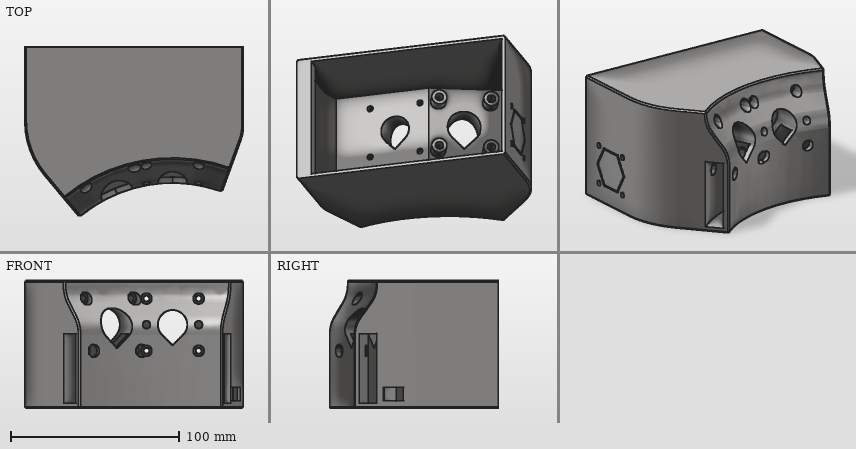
import cadquery as cq
import math

HEIGHT = 76.0
LEFT_X = -87.79
RIGHT_X = 42.0
BACK_Y = 166.81
CHAMFER = 1.0
WALL = 2.0
TOLERANCE = 0.01

LEFT_WALL_ANGLE = 40.0
RIGHT_WALL_ANGLE = 20.0
LEFT_CORNER_RADIUS = 50.0
RIGHT_CORNER_RADIUS = 20.0

LOWER_RADIUS = 86.0
UPPER_RADIUS = 100.0
INSIDE_RADIUS = LOWER_RADIUS / 2
SHOULDER_BOTTOM = 43.7
SHOULDER_TOP = 73.7
SHOULDER_ARC_RADIUS = 17.5
SHOULDER_SLOPE = math.radians(38.0)

SLOT_INNER_RADIUS = 89.6
SLOT_OUTER_RADIUS = 100.6
SLOT_BOTTOM = 3.0
SLOT_TOP = 44.4

MOUNT_HEIGHT = 49.7
MOUNT_PITCH = 31.0
MOUNT_PLANE = 106.0
SCREW_SEAT = 103.0
RIGHT_MOUNT_ANGLE = 0.0
RIGHT_SHAFT_DIAMETER = 17.3
RIGHT_SCREW_DIAMETER = 3.4
RIGHT_HEAD_DIAMETER = 6.5
LEFT_MOUNT_ANGLE = 22.5
LEFT_SHAFT_DIAMETER = 19.8
LEFT_SCREW_DIAMETER = 4.6
LEFT_HEAD_DIAMETER = 7.5
LEFT_BOSS_DIAMETER = 9.0
LEFT_BOSS_END = 114.0
PIN_DIAMETER = 4.6
PIN_FLOOR = 97.0

FAN_Y = 141.5
FAN_Z = 23.7
FAN_PITCH = 24.0
FAN_SCREW_DIAMETER = 3.2
HEX_OUTER_DIAMETER = 27.7
HEX_INNER_DIAMETER = 26.0
HEX_GROOVE_DEPTH = 1.0

CABLE_INNER_RADIUS = 104.6
CABLE_OUTER_RADIUS = 117.5
CABLE_BOTTOM = 4.4
CABLE_TOP = 12.5

POST_WIDTH = 9.0
POST_DEPTH = 8.0


def on_radius(radius, angle):
    """Point at a radius and an angle from +Y, positive towards -X."""
    a = math.radians(angle)
    return (-radius * math.sin(a), radius * math.cos(a))


def corner_arc(side_x, radius, wall_angle):
    """Start, middle and end of the arc tangent to a side and to its radial wall."""
    turn = math.radians(wall_angle)
    outward = math.copysign(1, side_x)
    centre_x = side_x - outward * radius
    end_x = centre_x + outward * radius * math.cos(turn)
    end_y = abs(end_x) / math.tan(turn)
    centre_y = end_y + radius * math.sin(turn)
    middle = (centre_x + outward * radius * math.cos(turn / 2),
              centre_y - radius * math.sin(turn / 2))
    return (side_x, centre_y), middle, (end_x, end_y)


def make_outline(back_y):
    """Plan outline as a wire, running past the front face towards the turntable centre."""
    left_start, left_mid, left_end = corner_arc(LEFT_X, LEFT_CORNER_RADIUS, LEFT_WALL_ANGLE)
    right_start, right_mid, right_end = corner_arc(RIGHT_X, RIGHT_CORNER_RADIUS, RIGHT_WALL_ANGLE)
    return (
        cq.Workplane("XY")
        .moveTo(RIGHT_X, back_y)
        .lineTo(LEFT_X, back_y)
        .lineTo(*left_start)
        .threePointArc(left_mid, left_end)
        .lineTo(*on_radius(INSIDE_RADIUS, LEFT_WALL_ANGLE))
        .lineTo(*on_radius(INSIDE_RADIUS, -RIGHT_WALL_ANGLE))
        .lineTo(*right_end)
        .threePointArc(right_mid, right_start)
        .close()
    )


def make_blank():
    """Prism of the outline with its top and bottom edges chamfered, except along the back."""
    blank = make_outline(BACK_Y).extrude(HEIGHT)
    all_but_back = cq.selectors.BoxSelector(
        (LEFT_X - WALL, INSIDE_RADIUS, -WALL),
        (RIGHT_X + WALL, BACK_Y - WALL, HEIGHT + WALL),
    )
    return blank.faces("<Z or >Z").edges(all_but_back).chamfer(CHAMFER)


def make_front_cutter():
    """Body of revolution whose outer surface is the concave front face."""
    rise = SHOULDER_ARC_RADIUS * math.sin(SHOULDER_SLOPE)
    offset = SHOULDER_ARC_RADIUS * (1 - math.cos(SHOULDER_SLOPE))
    half_rise = SHOULDER_ARC_RADIUS * math.sin(SHOULDER_SLOPE / 2)
    half_offset = SHOULDER_ARC_RADIUS * (1 - math.cos(SHOULDER_SLOPE / 2))
    return (
        cq.Workplane("XZ")
        .moveTo(0, 0)
        .lineTo(LOWER_RADIUS + CHAMFER, 0)
        .lineTo(LOWER_RADIUS, CHAMFER)
        .lineTo(LOWER_RADIUS, SHOULDER_BOTTOM)
        .threePointArc((LOWER_RADIUS + half_offset, SHOULDER_BOTTOM + half_rise),
                       (LOWER_RADIUS + offset, SHOULDER_BOTTOM + rise))
        .lineTo(UPPER_RADIUS - offset, SHOULDER_TOP - rise)
        .threePointArc((UPPER_RADIUS - half_offset, SHOULDER_TOP - half_rise),
                       (UPPER_RADIUS, SHOULDER_TOP))
        .lineTo(UPPER_RADIUS, HEIGHT - CHAMFER)
        .lineTo(UPPER_RADIUS + CHAMFER, HEIGHT)
        .lineTo(0, HEIGHT)
        .close()
        .revolve(360, (0, 0, 0), (0, 1, 0))
    )


def chamfer_front_edges(body):
    """Chamfer the edges where the concave front meets the two radial end walls."""
    def is_front_edge(edge):
        points = [edge.positionAt(t) for t in (0, 0.5, 1)]
        angles = [math.degrees(math.atan2(-p.x, p.y)) for p in points]
        on_left = all(abs(angle - LEFT_WALL_ANGLE) < TOLERANCE for angle in angles)
        on_right = all(abs(angle + RIGHT_WALL_ANGLE) < TOLERANCE for angle in angles)
        on_front = all(math.hypot(p.x, p.y) < UPPER_RADIUS + TOLERANCE for p in points)
        is_upright = abs(points[0].z - points[2].z) > TOLERANCE
        return (on_left or on_right) and on_front and is_upright

    edges = [edge for edge in body.edges().vals() if is_front_edge(edge)]
    return body.newObject(edges).chamfer(CHAMFER)


def make_slot():
    """Ring whose passage through the body leaves a curved slot open at both radial walls."""
    return (
        cq.Workplane("XY")
        .workplane(offset=SLOT_BOTTOM)
        .circle(SLOT_OUTER_RADIUS)
        .circle(SLOT_INNER_RADIUS)
        .extrude(SLOT_TOP - SLOT_BOTTOM)
    )


def mount_plane(angle, radius):
    """Plane at a radial distance, facing outwards, with its Y axis up and its X axis sideways."""
    x, y = on_radius(radius, angle)
    a = math.radians(angle)
    return cq.Plane(
        origin=(x, y, MOUNT_HEIGHT),
        xDir=(-math.cos(a), -math.sin(a), 0),
        normal=(-math.sin(a), math.cos(a), 0),
    )


def make_cavity():
    """Interior, open at the back; its front is the two flat motor mounting faces."""
    inset = (
        make_outline(BACK_Y + 2 * WALL)
        .offset2D(-WALL)
        .extrude(HEIGHT - 2 * WALL)
        .translate((0, 0, WALL))
    )
    span = 2 * (RIGHT_X - LEFT_X)
    behind = [
        cq.Workplane(mount_plane(angle, MOUNT_PLANE)).rect(span, span).extrude(span)
        for angle in (RIGHT_MOUNT_ANGLE, LEFT_MOUNT_ANGLE)
    ]
    post = cq.Workplane("XY").box(POST_WIDTH, POST_DEPTH, HEIGHT, centered=False).translate(
        (RIGHT_X - POST_WIDTH, BACK_Y - POST_DEPTH, 0))
    return inset.intersect(behind[0].union(behind[1])).cut(post)


def make_screw_cylinders(angle, diameter, start, end):
    """Cylinders on the four screw axes of a mount, between two radial distances."""
    return (
        cq.Workplane(mount_plane(angle, start))
        .rect(MOUNT_PITCH, MOUNT_PITCH, forConstruction=True)
        .vertices()
        .circle(diameter / 2)
        .extrude(end - start)
    )


def make_shaft_opening(angle, diameter):
    """Teardrop opening with its point down, along the radial axis of a mount."""
    radius = diameter / 2
    tangent = radius / math.sqrt(2)
    return (
        cq.Workplane(mount_plane(angle, INSIDE_RADIUS))
        .moveTo(-tangent, -tangent)
        .threePointArc((0, radius), (tangent, -tangent))
        .lineTo(0, -2 * tangent)
        .close()
        .extrude(LEFT_BOSS_END - INSIDE_RADIUS)
    )


def make_mount_holes(angle, shaft_diameter, screw_diameter, head_diameter):
    """Shaft opening and four counterbored screw holes, all along one radial direction."""
    shaft = make_shaft_opening(angle, shaft_diameter)
    screws = make_screw_cylinders(angle, screw_diameter, INSIDE_RADIUS, LEFT_BOSS_END)
    heads = make_screw_cylinders(angle, head_diameter, INSIDE_RADIUS, SCREW_SEAT)
    return shaft.union(screws).union(heads)


def make_left_bosses():
    """Bosses on the inner face that lengthen the screw holes of the left mount."""
    return make_screw_cylinders(LEFT_MOUNT_ANGLE, LEFT_BOSS_DIAMETER, SCREW_SEAT, LEFT_BOSS_END)


def make_pin_holes():
    """Blind pin holes either side of the right shaft opening."""
    depth = PIN_FLOOR - INSIDE_RADIUS
    return (
        cq.Workplane(mount_plane(RIGHT_MOUNT_ANGLE, INSIDE_RADIUS))
        .pushPoints([(-MOUNT_PITCH / 2, 0), (MOUNT_PITCH / 2, 0)])
        .circle(PIN_DIAMETER / 2)
        .extrude(depth)
    )


def make_fan_cuts():
    """Hexagonal groove and four through screw holes in the left side."""
    side = cq.Plane(origin=(LEFT_X, FAN_Y, FAN_Z), xDir=(0, 1, 0), normal=(1, 0, 0))
    groove = (
        cq.Workplane(side)
        .polygon(6, HEX_OUTER_DIAMETER)
        .polygon(6, HEX_INNER_DIAMETER)
        .extrude(HEX_GROOVE_DEPTH)
    )
    screws = (
        cq.Workplane(side)
        .rect(FAN_PITCH, FAN_PITCH, forConstruction=True)
        .vertices()
        .circle(FAN_SCREW_DIAMETER / 2)
        .extrude(2 * WALL)
    )
    return groove.union(screws)


def make_cable_opening():
    """Rectangular opening cut square through the right radial wall."""
    length = CABLE_OUTER_RADIUS - CABLE_INNER_RADIUS
    height = CABLE_TOP - CABLE_BOTTOM
    return (
        cq.Workplane("XY")
        .box(2 * WALL + CHAMFER, length, height, centered=(True, False, False))
        .translate((0, CABLE_INNER_RADIUS, CABLE_BOTTOM))
        .rotate((0, 0, 0), (0, 0, 1), -RIGHT_WALL_ANGLE)
    )


result = chamfer_front_edges(make_blank().cut(make_front_cutter()))
result = result.cut(make_cavity())
result = result.union(make_left_bosses())
result = result.cut(make_slot())
result = result.cut(make_mount_holes(
    RIGHT_MOUNT_ANGLE, RIGHT_SHAFT_DIAMETER, RIGHT_SCREW_DIAMETER, RIGHT_HEAD_DIAMETER))
result = result.cut(make_mount_holes(
    LEFT_MOUNT_ANGLE, LEFT_SHAFT_DIAMETER, LEFT_SCREW_DIAMETER, LEFT_HEAD_DIAMETER))
result = result.cut(make_pin_holes())
result = result.cut(make_fan_cuts())
result = result.cut(make_cable_opening())